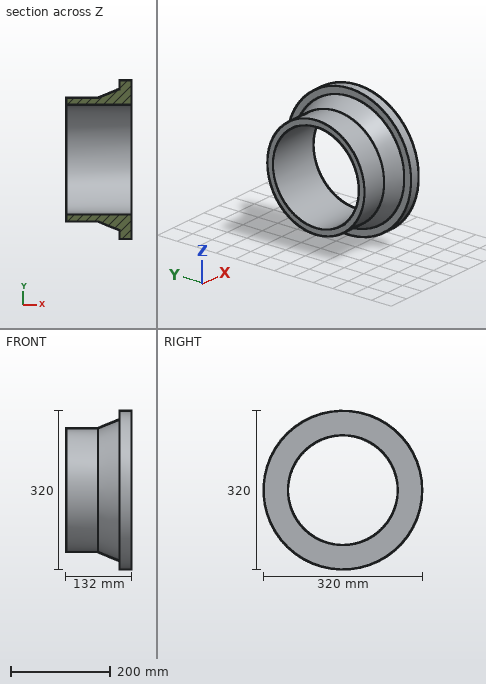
import cadquery as cq

total_length = 132.0
flange_diameter = 320.0
flange_thickness = 25.0
pipe_diameter = 250.0
pipe_length = 63.7
cone_end_diameter = 285.0
bore_diameter = 220.5

flange_radius = flange_diameter / 2
pipe_radius = pipe_diameter / 2
cone_end_radius = cone_end_diameter / 2
bore_radius = bore_diameter / 2
flange_face_x = total_length - flange_thickness

half_section = (
    cq.Workplane("XY")
    .moveTo(0, bore_radius)
    .lineTo(0, pipe_radius)
    .lineTo(pipe_length, pipe_radius)
    .lineTo(flange_face_x, cone_end_radius)
    .lineTo(flange_face_x, flange_radius)
    .lineTo(total_length, flange_radius)
    .lineTo(total_length, bore_radius)
    .close()
)

result = half_section.revolve(360, (0, 0, 0), (1, 0, 0))